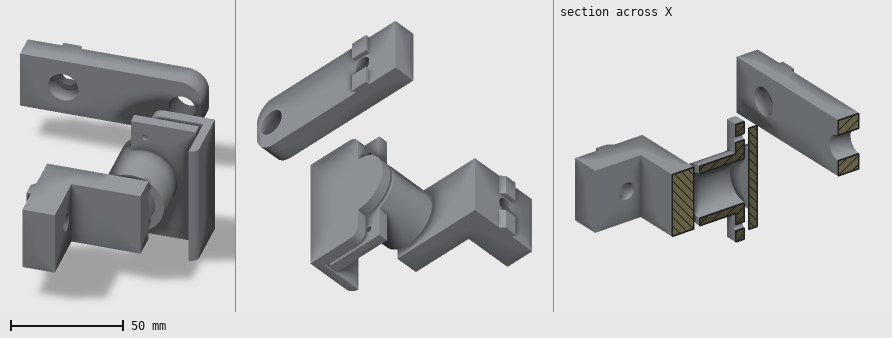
import cadquery as cq


total_depth = 130.5
total_height = 59.0
panel_rise = 0.1
screw_diameter = 8.4
key_width = 8.4
key_height = 2.1
key_gap = 9.9
hub_diameter = 30.0

arm_left = -75.2
arm_right = 8.9
arm_height = 28.0
arm_thickness = 11.6
arm_corner_radius = 9.9
arm_screw_x = -55.1
arm_counterbore_diameter = 14.0
arm_counterbore_depth = 8.0
arm_pivot_diameter = 12.5
arm_back = total_depth - key_height
arm_front = arm_back - arm_thickness

cover_back = 72.3
cover_thickness = 5.0
cover_right = 28.8
cover_wall = 3.9
cover_wall_depth = 27.0
cover_corner_radius = 5.0
cover_tip_radius = 3.8

hub_back = 65.2
hub_length = 24.9
hub_bore_diameter = 22.0
plate_left = -6.4
plate_right = 23.6
plate_thickness = 5.0
plate_hole_diameter = 3.0
plate_hole_z = 22.0

bracket_left = -38.1
bracket_right = 8.9
bracket_height = 31.0
bracket_depth = 37.2
bracket_leg_width = 15.0
bracket_flange_thickness = 12.0
bracket_screw_y = 17.2


def box(x0, x1, y0, y1, height, z_centre=0):
    """Block between the given X and Y limits, centred on Z = z_centre."""
    centre = ((x0 + x1) / 2, (y0 + y1) / 2, z_centre)
    return cq.Workplane("XY").box(x1 - x0, y1 - y0, height).translate(centre)


def cylinder_y(x, z, diameter, y_front, length):
    """Cylinder parallel to Y, running from y_front toward +Y."""
    axis = cq.Vector(0, 1, 0)
    return cq.Workplane(cq.Solid.makeCylinder(diameter / 2, length, cq.Vector(x, y_front, z), axis))


def make_arm():
    bar = box(arm_left, arm_right, arm_front, arm_back, arm_height)
    bar = bar.edges("|Y and >X").fillet(arm_corner_radius)

    key_left = arm_screw_x - key_width / 2
    key_right = arm_screw_x + key_width / 2
    key = box(key_left, key_right, arm_back, total_depth, arm_height)
    key = key.cut(box(key_left, key_right, arm_back, total_depth, key_gap))

    screw_hole = cylinder_y(arm_screw_x, 0, screw_diameter, arm_front, arm_thickness)
    counterbore = cylinder_y(arm_screw_x, 0, arm_counterbore_diameter, arm_front, arm_counterbore_depth)
    pivot_hole = cylinder_y(0, 0, arm_pivot_diameter, arm_front, arm_thickness)
    return bar.union(key).cut(screw_hole).cut(counterbore).cut(pivot_hole)


def make_cover():
    cover_front = cover_back - cover_thickness
    panel = box(0, cover_right, cover_front, cover_back, total_height, panel_rise)
    panel = panel.edges("|Y and <X").fillet(cover_corner_radius)
    disc = cylinder_y(0, 0, hub_diameter, cover_front, cover_thickness)

    wall_left = cover_right - cover_wall
    wall_front = cover_back - cover_wall_depth
    wall = box(wall_left, cover_right, wall_front, cover_back, total_height, panel_rise)
    wall = wall.edges("|Z and >X and <Y").fillet(cover_tip_radius)
    return panel.union(disc).union(wall)


def make_hub():
    hub_front = hub_back - hub_length
    plate = box(plate_left, plate_right, hub_back - plate_thickness, hub_back, total_height, panel_rise)
    hub = plate.union(cylinder_y(0, 0, hub_diameter, hub_front, hub_length))
    hub = hub.cut(cylinder_y(0, 0, hub_bore_diameter, hub_front, hub_length))
    for z in (-plate_hole_z, plate_hole_z):
        hub = hub.cut(cylinder_y(0, z, plate_hole_diameter, hub_back - plate_thickness, plate_thickness))
    return hub


def make_bracket():
    leg_right = bracket_left + bracket_leg_width
    leg = box(bracket_left, leg_right, 0, bracket_depth, bracket_height)
    flange_front = bracket_depth - bracket_flange_thickness
    flange = box(bracket_left, bracket_right, flange_front, bracket_depth, bracket_height)

    key_left = bracket_left - key_height
    key_front = bracket_screw_y - key_width / 2
    key_back = bracket_screw_y + key_width / 2
    key = box(key_left, bracket_left, key_front, key_back, bracket_height)
    bevel = (
        cq.Workplane("XY")
        .workplane(offset=-bracket_height / 2)
        .polyline([(key_left, key_back - key_height), (bracket_left, key_back), (key_left, key_back)])
        .close()
        .extrude(bracket_height)
    )
    key = key.cut(bevel).cut(box(key_left, bracket_left, key_front, key_back, key_gap))

    screw_hole = (
        cq.Workplane("YZ", origin=(bracket_left, bracket_screw_y, 0))
        .circle(screw_diameter / 2)
        .extrude(bracket_leg_width)
    )
    return leg.union(flange).union(key).cut(screw_hole)


arm = make_arm()
cover = make_cover()
hub = make_hub()
bracket = make_bracket()

bodies = [arm, cover, hub, bracket]
result = cq.Compound.makeCompound([body.solids().val() for body in bodies])